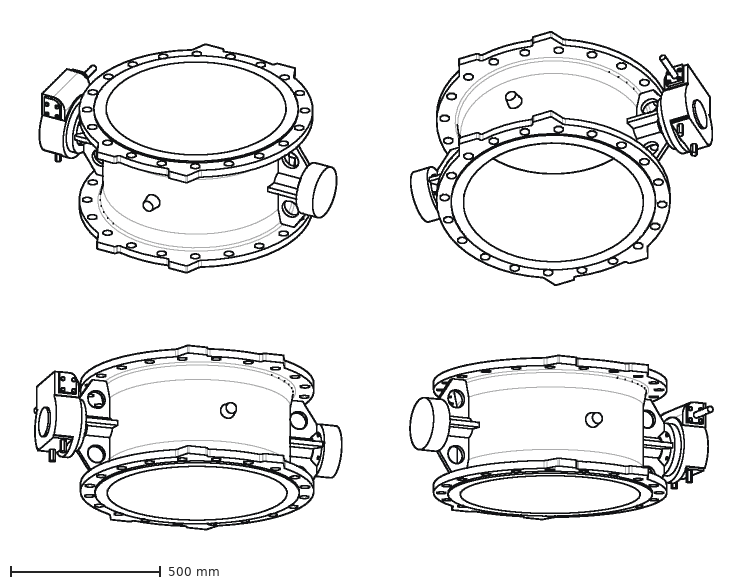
import cadquery as cq
import math


overall_length = 1023.0
bore_d = 600.0
wall_d = 622.0
neck_d = 640.0
raised_face_d = 682.0
flange_d = 780.0
height = 390.0
raised_face_thickness = 6.0
flange_thickness = 27.0
neck_start_z = 106.0
root_fillet = 8.0
flange_top_z = height / 2 - raised_face_thickness
flange_back_z = flange_top_z - flange_thickness

bolt_count = 20
bolt_hole_d = 31.0
bolt_circle_d = 726.0

lug_reach = 393.0
lug_inner_top_x = 100.0
lug_inner_base_x = 94.0
lug_outer_top_x = 169.0
lug_outer_base_x = 190.0
lug_inner_round = 8.0
lug_outer_corner_round = 5.0
lug_outer_base_round = 15.0

shaft_y = 3.0
plate_thickness = 16.0
web_flange_x = 371.0
web_hub_z = 89.0
web_hole_d = 60.0
web_hole_x = 357.0
web_hole_z = 95.0
rib_width = 140.0
arm_root_x = 305.0
root_overlap = 5.0
shaft_tube_d = 70.0
flare_start_x = 399.0
flare_start_d = 78.0
flare_end_d = 119.0
hub_d = 175.0
hub_face_x = 420.0
end_cap_x = 482.0
hub_bolt_d = 10.0
hub_bolt_offset = 39.0
hub_bolt_tip_x = 413.0

stub_tip_d = 37.0
stub_base_d = 49.0
stub_tip_y = 348.0

gearbox_d = 220.0
gearbox_outer_x = -534.0
gearbox_inner_x = -448.0
mount_disc_outer_x = -466.0
mount_disc_inner_x = -444.0
gearbox_flat_z = -70.0
base_plate_width = 155.0
base_plate_z = -77.0
recess_d = 166.0
recess_depth = 5.0
head_width = 182.0
head_bottom_z = 69.0
head_top_z = 150.0
head_round = 44.0
indicator_d = 98.0
indicator_outer_x = end_cap_x - overall_length

cover_outer_x = -519.0
cover_inner_x = -460.0
cover_bottom_z = 78.0
cover_top_z = 147.0
cover_round = 25.0
cover_thickness = 11.0
screw_d = 12.0
screw_height = 3.0
screw_xs = (-508.0, -471.0)
screw_zs = (86.0, 124.0)
input_shaft_d = 20.0
input_shaft_x = -493.0
input_shaft_z = 104.0
input_shaft_tip_y = 209.0
stop_bolt_corner_d = 20.0
stop_bolt_x = -491.0
stop_bolt_offset_y = 55.0
stop_bolt_tip_z = -116.0


def x_cylinder(diameter, x_start, x_end):
    """Cylinder on the shaft axis between two X positions."""
    plane = cq.Plane(origin=(x_start, shaft_y, 0), xDir=(0, 1, 0), normal=(1, 0, 0))
    return cq.Workplane(plane).circle(diameter / 2).extrude(x_end - x_start)


def block(x_range, y_range, z_range):
    """Axis-aligned block given by its limits."""
    size = [high - low for low, high in (x_range, y_range, z_range)]
    corner = (x_range[0], y_range[0], z_range[0])
    return cq.Workplane("XY").box(*size, centered=False).translate(corner)


def edges_near(x, y):
    """Selector for the vertical edges around one outline corner."""
    reach = 4.0
    return cq.selectors.BoxSelector(
        (x - reach, y - reach, flange_back_z - 10), (x + reach, y + reach, flange_top_z + 10)
    )


def rim_y(x):
    """Y of the flange rim at a given X."""
    return math.sqrt((flange_d / 2) ** 2 - x**2)


def make_flange():
    """Upper flange with four lifting lugs and its bolt holes."""
    lug = (
        cq.Workplane("XY", origin=(0, 0, flange_back_z))
        .polyline(
            [
                (lug_inner_base_x, rim_y(lug_inner_base_x)),
                (lug_inner_top_x, lug_reach),
                (lug_outer_top_x, lug_reach),
                (lug_outer_base_x, rim_y(lug_outer_base_x)),
            ]
        )
        .close()
        .extrude(flange_thickness)
    )
    disc = (
        cq.Workplane("XY", origin=(0, 0, flange_back_z))
        .circle(flange_d / 2)
        .extrude(flange_thickness)
    )
    flange = disc
    for mirrored in (lug, lug.mirror("YZ")):
        flange = flange.union(mirrored).union(mirrored.mirror("XZ"))

    rounds = (
        (lug_inner_top_x, lug_reach, lug_inner_round),
        (lug_inner_base_x, rim_y(lug_inner_base_x), lug_inner_round),
        (lug_outer_top_x, lug_reach, lug_outer_corner_round),
        (lug_outer_base_x, rim_y(lug_outer_base_x), lug_outer_base_round),
    )
    for x, y, radius in rounds:
        for side in (1, -1):
            for end in (1, -1):
                flange = flange.edges(edges_near(side * x, end * y)).fillet(radius)

    holes = (
        cq.Workplane("XY", origin=(0, 0, flange_back_z))
        .polarArray(bolt_circle_d / 2, 180 / bolt_count, 360, bolt_count)
        .circle(bolt_hole_d / 2)
        .extrude(flange_thickness)
    )
    return flange.cut(holes)


def make_wall():
    """Turned body: wall, widening necks, root fillets and raised faces."""
    half = height / 2
    neck_z = flange_back_z - root_fillet
    neck_r = neck_d / 2
    root_r = neck_r + root_fillet
    mid = root_fillet * (1 - math.sqrt(0.5))
    upper = (
        cq.Workplane("XZ")
        .lineTo(wall_d / 2, 0)
        .lineTo(wall_d / 2, neck_start_z)
        .lineTo(neck_r, neck_z)
        .threePointArc((neck_r + mid, flange_back_z - mid), (root_r, flange_back_z))
        .lineTo(raised_face_d / 2, flange_back_z)
        .lineTo(raised_face_d / 2, half)
        .lineTo(0, half)
        .close()
        .revolve(360, (0, 0, 0), (0, 1, 0))
    )
    return upper.union(upper.mirror("XY"))


def make_arm():
    """Web, rib, tube and flare that carry the shaft on the +X side, with the hub bolt tips."""
    half_plate = plate_thickness / 2
    web = (
        cq.Workplane("XZ", origin=(0, shaft_y + half_plate, 0))
        .polyline(
            [
                (arm_root_x, flange_back_z),
                (web_flange_x, flange_back_z),
                (hub_face_x, web_hub_z),
                (hub_face_x, -web_hub_z),
                (web_flange_x, -flange_back_z),
                (arm_root_x, -flange_back_z),
            ]
        )
        .close()
        .pushPoints([(web_hole_x, web_hole_z), (web_hole_x, -web_hole_z)])
        .circle(web_hole_d / 2)
        .extrude(plate_thickness)
    )
    rib = block(
        (arm_root_x - root_overlap, hub_face_x),
        (shaft_y - rib_width / 2, shaft_y + rib_width / 2),
        (-half_plate, half_plate),
    )
    tube = x_cylinder(shaft_tube_d, arm_root_x - root_overlap, hub_face_x)
    flare = (
        cq.Workplane("YZ", origin=(flare_start_x, shaft_y, 0))
        .circle(flare_start_d / 2)
        .workplane(offset=hub_face_x - flare_start_x)
        .circle(flare_end_d / 2)
        .loft()
    )
    bolt_tips = (
        cq.Workplane("YZ", origin=(hub_bolt_tip_x, shaft_y, 0))
        .rect(2 * hub_bolt_offset, 2 * hub_bolt_offset, forConstruction=True)
        .vertices()
        .circle(hub_bolt_d / 2)
        .extrude(hub_face_x - hub_bolt_tip_x)
    )
    return web.union(rib).union(tube).union(flare).union(bolt_tips)


def make_stub():
    """Tapered stub boss on the +Y side, running into the wall."""
    wall_r = wall_d / 2
    taper = (stub_base_d - stub_tip_d) / 2 / (stub_tip_y - wall_r)
    root_y = wall_r - root_overlap
    root_r = stub_tip_d / 2 + taper * (stub_tip_y - root_y)
    return (
        cq.Workplane("XZ", origin=(0, stub_tip_y, 0))
        .circle(stub_tip_d / 2)
        .workplane(offset=stub_tip_y - root_y)
        .circle(root_r)
        .loft()
    )


def make_cover(side):
    """Cover plate with four screw heads on one side of the gearbox head; side is +1 or -1."""
    face_y = shaft_y + side * head_width / 2
    outer_y = face_y + side * cover_thickness
    plate = (
        block(
            (cover_outer_x, cover_inner_x),
            (min(face_y, outer_y), max(face_y, outer_y)),
            (cover_bottom_z, cover_top_z),
        )
        .edges("|Y and >X and >Z")
        .fillet(cover_round)
    )
    screws = (
        cq.Workplane("XZ", origin=(0, outer_y, 0))
        .pushPoints([(x, z) for x in screw_xs for z in screw_zs])
        .circle(screw_d / 2)
        .extrude(-side * screw_height)
    )
    return plate.union(screws)


def make_gearbox():
    """Gear housing with its mounting disc, base plate, head, covers, shaft and stop bolts."""
    gearbox_r = gearbox_d / 2
    y_limits = (shaft_y - gearbox_r, shaft_y + gearbox_r)
    below_flat = block(
        (gearbox_outer_x, mount_disc_outer_x), y_limits, (-gearbox_r, gearbox_flat_z)
    )
    above_head_base = block(
        (gearbox_outer_x, gearbox_inner_x), y_limits, (head_bottom_z, gearbox_r)
    )
    housing = x_cylinder(gearbox_d, gearbox_outer_x, mount_disc_inner_x)
    housing = housing.cut(below_flat).cut(above_head_base)
    recess = x_cylinder(recess_d, mount_disc_outer_x, mount_disc_outer_x + recess_depth).intersect(
        block((mount_disc_outer_x, mount_disc_inner_x), y_limits, (-gearbox_r, base_plate_z))
    )
    housing = housing.cut(recess)
    base_plate = block(
        (gearbox_outer_x, mount_disc_outer_x),
        (shaft_y - base_plate_width / 2, shaft_y + base_plate_width / 2),
        (base_plate_z, gearbox_flat_z),
    )
    head = (
        block(
            (gearbox_outer_x, gearbox_inner_x),
            (shaft_y - head_width / 2, shaft_y + head_width / 2),
            (head_bottom_z, head_top_z),
        )
        .edges("|Y and >X and >Z")
        .fillet(head_round)
    )
    indicator = x_cylinder(indicator_d, indicator_outer_x, gearbox_outer_x)
    input_shaft = (
        cq.Workplane("XZ", origin=(input_shaft_x, input_shaft_tip_y, input_shaft_z))
        .circle(input_shaft_d / 2)
        .extrude(input_shaft_tip_y - shaft_y)
    )
    stop_bolts = (
        cq.Workplane("XY", origin=(stop_bolt_x, shaft_y, stop_bolt_tip_z))
        .transformed(rotate=(0, 0, 90))
        .pushPoints([(-stop_bolt_offset_y, 0), (stop_bolt_offset_y, 0)])
        .polygon(6, stop_bolt_corner_d)
        .extrude(-stop_bolt_tip_z)
    )
    gearbox = housing.union(base_plate).union(head).union(indicator)
    gearbox = gearbox.union(input_shaft).union(stop_bolts)
    return gearbox.union(make_cover(1)).union(make_cover(-1))


flange = make_flange()
arm = make_arm()
stub = make_stub()

body = make_wall()
for feature, plane in ((flange, "XY"), (arm, "YZ"), (stub, "XZ")):
    body = body.union(feature).union(feature.mirror(plane))

bore = cq.Workplane("XY").circle(bore_d / 2).extrude(height, both=True)
body = body.cut(bore)

end_cap = x_cylinder(hub_d, hub_face_x, end_cap_x)
gearbox_hub = x_cylinder(hub_d, mount_disc_inner_x, -hub_face_x)
result = body.union(end_cap).union(gearbox_hub).union(make_gearbox())